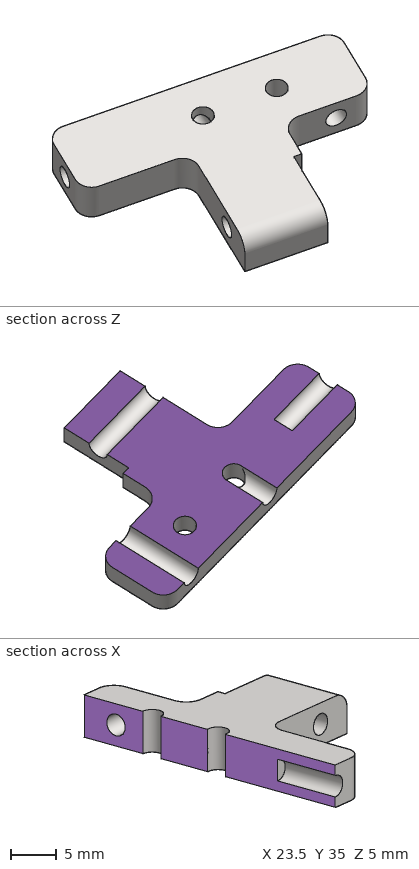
import cadquery as cq

length = 35.0
width = 23.5
thickness = 5.0
mid_height = thickness / 2

bar_width = 9.5
stem_front = 13.1
stem_back = 23.1
step_height = 0.98
step_end = 14.55
corner_radius = 2.0

hole_diameter = 2.5
back_hole = (4.8, 25.55)
centre_hole = (5.0, 16.55)
cross_hole_y = 30.55
stem_hole_x = 18.75
end_hole_x = 4.8
end_hole_depth = 8.0


def make_body():
    """T-shaped plate with rounded corners and a small step on the stem."""
    step_back = stem_back + step_height
    bar = (
        cq.Workplane("XY")
        .box(bar_width, length, thickness, centered=False)
    )
    stem = (
        cq.Workplane("XY")
        .moveTo(bar_width / 2, stem_front)
        .lineTo(width, stem_front)
        .lineTo(width, stem_back)
        .lineTo(step_end, stem_back)
        .lineTo(step_end, step_back)
        .lineTo(bar_width / 2, step_back)
        .close()
        .extrude(thickness)
    )
    rounded_corners = [
        (0, 0),
        (bar_width, 0),
        (0, length),
        (bar_width, length),
        (bar_width, stem_front),
        (bar_width, step_back),
    ]
    body = bar.union(stem)
    for x, y in rounded_corners:
        edge = cq.selectors.NearestToPointSelector((x, y, mid_height))
        body = body.edges("|Z").edges(edge).fillet(corner_radius)
    return body.faces(">X").edges(">Z").fillet(corner_radius)


def drill(start, direction, depth):
    """Cylinder that cuts a hole from a start point along a direction."""
    return cq.Workplane(
        cq.Solid.makeCylinder(hole_diameter / 2, depth, cq.Vector(*start), cq.Vector(*direction))
    )


along_x = (1, 0, 0)
along_y = (0, 1, 0)
along_z = (0, 0, 1)

result = make_body()

for x, y in (back_hole, centre_hole):
    result = result.cut(drill((x, y, 0), along_z, thickness))

result = result.cut(drill((0, cross_hole_y, mid_height), along_x, bar_width))
result = result.cut(drill((0, centre_hole[1], mid_height), along_x, centre_hole[0]))

result = result.cut(drill((stem_hole_x, stem_front, mid_height), along_y, stem_back - stem_front))
result = result.cut(drill((end_hole_x, 0, mid_height), along_y, end_hole_depth))